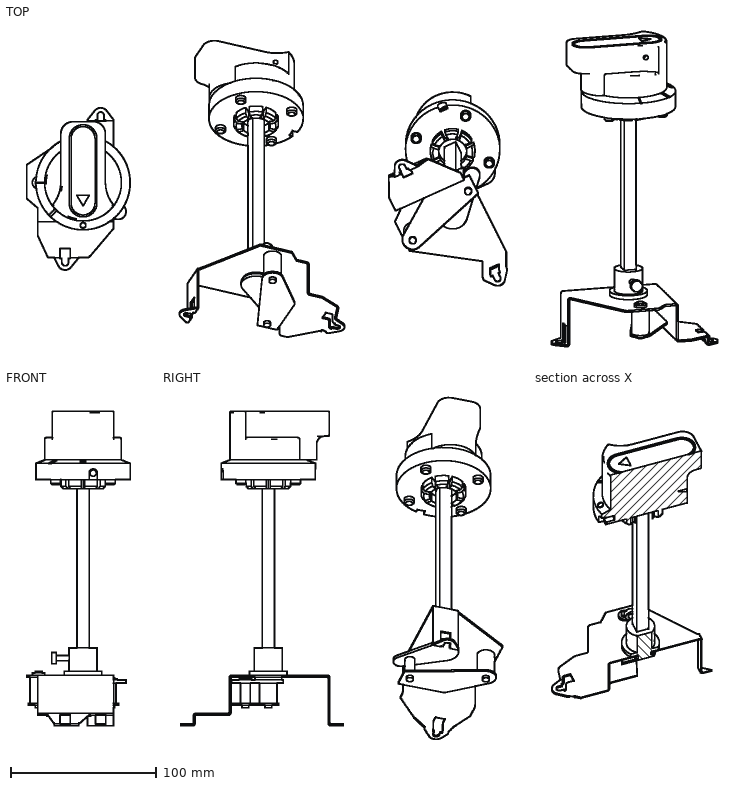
import cadquery as cq
import math


SHAFT_SIDE = 8.7
SHAFT_BOTTOM = 35.0
SHAFT_TOP = 183.4

HANDLE_TOP = 217.0
LEDGE_Z = 198.8
TAIL_BOTTOM = 199.6
KNOB_BASE = 183.4
BEVEL_BOTTOM = 181.0
FLANGE_BOTTOM = 169.7
FOOT_BOTTOM = 166.2
COLLAR_BOTTOM = 163.5

KNOB_RADIUS = 26.5
FLANGE_RADIUS = 32.5
BEVEL_TOP_RADIUS = KNOB_RADIUS
GRIP_HALF_WIDTH = 15.5
TAIL_END_Y = 42.0
TAIL_CORNER_RADIUS = 8.5
SCALLOP_RADIUS = 23.9
COLUMN_END_RADIUS = 18.2
COLUMN_END_Y = 33.5
COLUMN_FILLET = 5.5
EDGE_FILLET = 1.0

GROOVE_HALF_WIDTH = 9.5
GROOVE_BACK_Y = 40.0
GROOVE_FRONT_Y = -23.7
GROOVE_WIDTH = 1.3
GROOVE_DEPTH = 0.5
ARROW_HALF_WIDTH = 4.3
ARROW_BASE_Y = -8.7
ARROW_TIP_Y = -16.0
ARROW_DEPTH = 0.2
SIDE_HOLE_DIAMETER = 3.0
SIDE_HOLE_Y = -7.8
SIDE_HOLE_DROP = 8.2
SIDE_HOLE_DEPTH = 4.3
DOT_DIAMETER = 4.0
DOT_DEPTH = 0.7
TICKS = [(180, 0.7), (225, 1.7)]
TICK_DEPTH = 0.5
NOTCH_X = 7.0
NOTCH_WIDTH = 5.6
NOTCH_CENTER_Z = 174.3
NOTCH_DEPTH = 3.3
NOTCH_HOLE_DIAMETER = 4.3
NOTCH_HOLE_DEPTH = 6.5

COLLAR_RADIUS = 15.5
COLLAR_CHAMFER = 1.7
COLLAR_BORE_RADIUS = 9.8
COLLAR_SLOTS = 8
COLLAR_SLOT_WIDTH = 2.5
FOOT_RADIUS = 3.5
FOOT_OFFSET = 18.9
FOOT_CHAMFER = 1.0

SHEET = 1.3
BEND_RADIUS = 2.0
PLATE_TOP = 35.0
STEP_TOP = 8.7
BACK_WALL_Y = 42.5
FRONT_WALL_Y = -27.0
STEP_WALL_Y = -51.6
BACK_TIP_Y = 51.6
FRONT_TIP_Y = -60.3
BRACKET_LEFT = -38.8
BRACKET_RIGHT = 21.0
FRONT_LEFT = -31.2
BACK_LEFT = 3.0
BACK_EAR_ROOT_Y = 43.5
STEP_LEFT = -24.3
STEP_RIGHT = 4.1
FRONT_EAR_LEFT = -20.0
FRONT_EAR_RIGHT = -2.8
LEFT_EDGE_BACK_Y = 12.4
LEFT_EDGE_FRONT_Y = -11.0
LEFT_CORNER_Y = -17.5
STEP_TAPER_LEFT_Y = -36.7
STEP_TAPER_RIGHT_Y = -31.7
EAR_RADIUS = 5.2
BACK_EAR_X = 12.2
FRONT_EAR_X = -12.4
KEYHOLE_WIDE = 7.0
KEYHOLE_NARROW = 4.3
BACK_KEYHOLE_TOP = 13.5
FRONT_KEYHOLE_Y = -45.5
KEYHOLE_LIP = 0.7

HUB_RADIUS = 9.8
HUB_TOP = 53.8
COLLAR_RIM_RADIUS = 13.0
COLLAR_RIM_TOP = 37.8
NECK_RADIUS = 9.3
LEVER_TOP = 31.7
LEVER_BOTTOM = 29.5
LEVER_HUB_RADIUS = 10.5
LEVER_TIP_RADIUS = 5.5
LEVER_TIP = (24.3, -20.0)
LINK_TOP = 15.6
LINK_BOTTOM = 14.3
LINK_END_RADIUS = 7.2
LINK_FRONT_Y = -25.4
LINK_FRONT_LEFT_X = -8.7
LINK_RIGHT = 24.7
LINK_RIGHT_Y = -10.8
LINK_TOP_SLOPE = math.radians(17)
LINK_SIDE_SLOPE = math.radians(36.5)
FIXED_POST = (-30.5, 0.0)
FIXED_POST_RADIUS = 6.0
LEVER_POST = (19.3, -15.8)
LEVER_POST_RADIUS = 3.5
RIVET_RADIUS = 2.4
RIVET_BOTTOM = 12.4
WASHER_RADIUS = 4.3
FIXED_WASHER_TOP = 36.5
FIXED_RIVET_TOP = 37.8
LEVER_WASHER_TOP = 32.3
LEVER_RIVET_TOP = 33.2
SCREW_Z = 46.7
SCREW_RADIUS = 2.0
SCREW_HEAD_RADIUS = 4.0
SCREW_HEAD_X = -18.5
SCREW_END_X = -21.7


def disc(radius, bottom, top, center=(0.0, 0.0)):
    """Upright cylinder between two heights."""
    return cq.Workplane("XY", origin=(*center, bottom)).circle(radius).extrude(top - bottom)


def box(x_range, y_range, z_range):
    """Axis-aligned block given by its low and high limits."""
    lows, highs = zip(x_range, y_range, z_range)
    sizes = [high - low for low, high in zip(lows, highs)]
    return cq.Workplane("XY", origin=lows).box(*sizes, centered=False)


def prism(points, bottom, top):
    """Upright prism over a plan polygon."""
    return cq.Workplane("XY", origin=(0, 0, bottom)).polyline(points).close().extrude(top - bottom)


def tangent_bar(start, start_radius, end, end_radius, bottom, top):
    """Flat bar with round ends of different radii joined by tangent sides."""
    dx = end[0] - start[0]
    dy = end[1] - start[1]
    heading = math.atan2(dy, dx)
    spread = math.acos((start_radius - end_radius) / math.hypot(dx, dy))

    def rim(center, radius, angle):
        return center[0] + radius * math.cos(angle), center[1] + radius * math.sin(angle)

    left = heading + spread
    right = heading - spread
    return (
        cq.Workplane("XY", origin=(0, 0, bottom))
        .moveTo(*rim(start, start_radius, left))
        .threePointArc(rim(start, start_radius, heading + math.pi), rim(start, start_radius, right))
        .lineTo(*rim(end, end_radius, right))
        .threePointArc(rim(end, end_radius, heading), rim(end, end_radius, left))
        .close()
        .extrude(top - bottom)
    )


def shaft_bar():
    length = SHAFT_TOP - SHAFT_BOTTOM
    return cq.Workplane("XY", origin=(0, 0, SHAFT_BOTTOM)).rect(SHAFT_SIDE, SHAFT_SIDE).extrude(length)



def knob():
    """Round lower knob; its filleted top shows as a ledge on each side of the grip."""
    return disc(KNOB_RADIUS, KNOB_BASE, LEDGE_Z).faces(">Z").edges().fillet(EDGE_FILLET)


def grip():
    """Raised grip: straight tail at +Y, concave flanks widening to the knob rim at -Y."""
    tail = (
        box((-GRIP_HALF_WIDTH, GRIP_HALF_WIDTH), (0, TAIL_END_Y), (TAIL_BOTTOM, HANDLE_TOP))
        .edges("|Z and >Y").fillet(TAIL_CORNER_RADIUS)
    )
    head = disc(KNOB_RADIUS, KNOB_BASE, HANDLE_TOP)
    for side in (-1, 1):
        flank_center = (side * (GRIP_HALF_WIDTH + SCALLOP_RADIUS), 0)
        head = head.cut(disc(SCALLOP_RADIUS, KNOB_BASE, HANDLE_TOP, flank_center))
        side_x_range = sorted((side * GRIP_HALF_WIDTH, side * FLANGE_RADIUS))
        head = head.cut(box(side_x_range, (0, FLANGE_RADIUS), (KNOB_BASE, HANDLE_TOP)))
    body = head.union(tail).union(column())
    body = body.faces(">Z").edges().fillet(EDGE_FILLET)
    return round_underside(body)


def round_underside(body):
    """Rounds the lower rim of the tail and the corners of its support."""
    tail_underside = cq.selectors.BoxSelector(
        (-FLANGE_RADIUS, TAIL_END_Y - EDGE_FILLET, TAIL_BOTTOM - EDGE_FILLET),
        (FLANGE_RADIUS, TAIL_END_Y + EDGE_FILLET, TAIL_BOTTOM + EDGE_FILLET),
    )
    return body.edges(tail_underside).fillet(EDGE_FILLET)


def column():
    """Support under the tail with a rounded end, flared where it meets the tail."""
    center = (0, COLUMN_END_Y - COLUMN_END_RADIUS)
    flare_z = TAIL_BOTTOM - COLUMN_FILLET
    post_body = disc(COLUMN_END_RADIUS, KNOB_BASE, TAIL_BOTTOM, center)
    flare = (
        cq.Workplane("XZ")
        .moveTo(0, flare_z)
        .lineTo(COLUMN_END_RADIUS, flare_z)
        .radiusArc((COLUMN_END_RADIUS + COLUMN_FILLET, TAIL_BOTTOM), COLUMN_FILLET)
        .lineTo(0, TAIL_BOTTOM)
        .close()
        .revolve(360, (0, 0, 0), (0, 1, 0))
        .translate((*center, 0))
    )
    strip = box((-GRIP_HALF_WIDTH, GRIP_HALF_WIDTH), (0, TAIL_END_Y), (KNOB_BASE, TAIL_BOTTOM))
    return post_body.union(flare).intersect(strip)


def flange():
    """Round base with a bevelled top."""
    return (
        cq.Workplane("XZ")
        .polyline([
            (0, FLANGE_BOTTOM),
            (FLANGE_RADIUS, FLANGE_BOTTOM),
            (FLANGE_RADIUS, BEVEL_BOTTOM),
            (BEVEL_TOP_RADIUS, KNOB_BASE),
            (0, KNOB_BASE),
        ])
        .close()
        .revolve(360, (0, 0, 0), (0, 1, 0))
    )


def collar():
    """Slotted locating collar under the flange."""
    body = disc(COLLAR_RADIUS, COLLAR_BOTTOM, FLANGE_BOTTOM).faces("<Z").chamfer(COLLAR_CHAMFER)
    body = body.cut(disc(COLLAR_BORE_RADIUS, COLLAR_BOTTOM, FLANGE_BOTTOM))
    half = COLLAR_SLOT_WIDTH / 2
    slot = box((COLLAR_BORE_RADIUS, COLLAR_RADIUS + 2.2), (-half, half), (COLLAR_BOTTOM, FLANGE_BOTTOM))
    for index in range(COLLAR_SLOTS):
        body = body.cut(slot.rotate((0, 0, 0), (0, 0, 1), index * 360 / COLLAR_SLOTS))
    return body


def foot(x, y):
    return disc(FOOT_RADIUS, FOOT_BOTTOM, FLANGE_BOTTOM, (x, y)).faces("<Z").chamfer(FOOT_CHAMFER)


def grip_groove():
    """Racetrack groove in the top of the grip."""
    length = GROOVE_BACK_Y - GROOVE_FRONT_Y
    width = 2 * GROOVE_HALF_WIDTH
    middle = (GROOVE_BACK_Y + GROOVE_FRONT_Y) / 2
    plane = cq.Workplane("XY", origin=(0, middle, HANDLE_TOP - GROOVE_DEPTH))
    outer = plane.slot2D(length, width, 90).extrude(GROOVE_DEPTH)
    inner = plane.slot2D(length - 2 * GROOVE_WIDTH, width - 2 * GROOVE_WIDTH, 90).extrude(GROOVE_DEPTH)
    return outer.cut(inner)


def arrow_recess():
    return (
        cq.Workplane("XY", origin=(0, 0, HANDLE_TOP - ARROW_DEPTH))
        .polyline([(-ARROW_HALF_WIDTH, ARROW_BASE_Y), (ARROW_HALF_WIDTH, ARROW_BASE_Y), (0, ARROW_TIP_Y)])
        .close()
        .extrude(ARROW_DEPTH)
    )


def side_hole():
    """Blind hole in the concave flank on the -X side."""
    hole_z = HANDLE_TOP - SIDE_HOLE_DROP
    depth = KNOB_RADIUS - GRIP_HALF_WIDTH + SIDE_HOLE_DEPTH
    return (
        cq.Workplane("YZ", origin=(-KNOB_RADIUS, SIDE_HOLE_Y, hole_z))
        .circle(SIDE_HOLE_DIAMETER / 2)
        .extrude(depth)
    )


def bevel_surface(angle):
    """Workplane lying on the bevel, centred on its width in the given direction."""
    fall = KNOB_BASE - BEVEL_BOTTOM
    run = FLANGE_RADIUS - BEVEL_TOP_RADIUS
    radius = FLANGE_RADIUS - run / 2
    heading = math.radians(angle)
    cosine = math.cos(heading)
    sine = math.sin(heading)
    plane = cq.Plane(
        origin=(radius * cosine, radius * sine, (KNOB_BASE + BEVEL_BOTTOM) / 2),
        xDir=(run * cosine, run * sine, -fall),
        normal=(fall * cosine, fall * sine, run),
    )
    return cq.Workplane(plane)


def bevel_marks():
    """Index dot at the front and radial ticks, all shallow recesses in the bevel."""
    slope_length = math.hypot(KNOB_BASE - BEVEL_BOTTOM, FLANGE_RADIUS - BEVEL_TOP_RADIUS)
    marks = bevel_surface(270).circle(DOT_DIAMETER / 2).extrude(DOT_DEPTH, both=True)
    for angle, width in TICKS:
        tick = bevel_surface(angle).rect(slope_length, width).extrude(TICK_DEPTH, both=True)
        marks = marks.union(tick)
    return marks


def flange_notch():
    """Arched notch in the front of the flange with a hole in its back wall."""
    rim_y = -math.sqrt(FLANGE_RADIUS**2 - NOTCH_X**2)
    half = NOTCH_WIDTH / 2
    back_y = rim_y + NOTCH_DEPTH
    lower = box((NOTCH_X - half, NOTCH_X + half), (-FLANGE_RADIUS, back_y), (FLANGE_BOTTOM, NOTCH_CENTER_Z))
    plane = cq.Workplane("XZ", origin=(NOTCH_X, -FLANGE_RADIUS, NOTCH_CENTER_Z))
    arch = plane.circle(half).extrude(-(back_y + FLANGE_RADIUS))
    hole = plane.circle(NOTCH_HOLE_DIAMETER / 2).extrude(-(back_y + FLANGE_RADIUS + NOTCH_HOLE_DEPTH))
    return lower.union(arch).union(hole)


def make_handle():
    body = knob().union(grip()).union(flange()).union(collar())
    for x in (-FOOT_OFFSET, FOOT_OFFSET):
        for y in (-FOOT_OFFSET, FOOT_OFFSET):
            body = body.union(foot(x, y))
    for recess in (grip_groove(), arrow_recess(), side_hole(), bevel_marks(), flange_notch()):
        body = body.cut(recess)
    return body.cut(shaft_bar())



def bent_strip():
    """Full-width sheet bent into the hat-shaped side profile."""
    inside = BEND_RADIUS - SHEET
    width = BRACKET_RIGHT - BRACKET_LEFT
    outer = [
        (BACK_TIP_Y, SHEET),
        (BACK_WALL_Y, SHEET),
        (BACK_WALL_Y, PLATE_TOP),
        (FRONT_WALL_Y, PLATE_TOP),
        (FRONT_WALL_Y, STEP_TOP),
        (STEP_WALL_Y, STEP_TOP),
        (STEP_WALL_Y, SHEET),
        (FRONT_TIP_Y, SHEET),
    ]
    inner = [
        (FRONT_TIP_Y, 0),
        (STEP_WALL_Y + SHEET, 0),
        (STEP_WALL_Y + SHEET, STEP_TOP - SHEET),
        (FRONT_WALL_Y + SHEET, STEP_TOP - SHEET),
        (FRONT_WALL_Y + SHEET, PLATE_TOP - SHEET),
        (BACK_WALL_Y - SHEET, PLATE_TOP - SHEET),
        (BACK_WALL_Y - SHEET, 0),
        (BACK_TIP_Y, 0),
    ]
    sheet = (
        cq.Workplane("YZ", origin=(BRACKET_LEFT, 0, 0))
        .polyline(outer + inner)
        .close()
        .extrude(width)
    )
    convex = outer[2:4] + outer[5:6] + inner[1:2] + inner[3:4] + inner[6:7]
    concave = outer[1:2] + outer[4:5] + outer[6:7] + inner[2:3] + inner[4:6]
    for corners, radius in ((convex, BEND_RADIUS), (concave, inside)):
        for y, z in corners:
            near = cq.selectors.BoxSelector(
                (BRACKET_LEFT - 2.2, y - SHEET / 4, z - SHEET / 4),
                (BRACKET_RIGHT + 2.2, y + SHEET / 4, z + SHEET / 4),
            )
            sheet = sheet.edges(near).fillet(radius)
    return sheet


def ear_plan(x, tip_y, wall_y, left_x, right_x):
    """Plan of a mounting ear: sides running from the wall tangent to a round tip."""
    outward = 1 if tip_y > wall_y else -1
    center_y = tip_y - outward * EAR_RADIUS
    outline = [(left_x, wall_y)]
    for root_x, side in ((left_x, -1), (right_x, 1)):
        dx = root_x - x
        dy = wall_y - center_y
        to_root = math.atan2(dy, dx)
        spread = math.acos(EAR_RADIUS / math.hypot(dx, dy))
        angle = to_root + side * outward * spread
        outline.append((x + EAR_RADIUS * math.cos(angle), center_y + EAR_RADIUS * math.sin(angle)))
    outline.append((right_x, wall_y))
    tip = disc(EAR_RADIUS, 0, PLATE_TOP, (x, center_y))
    return prism(outline, 0, PLATE_TOP).union(tip)


def bracket_plan():
    """Plan outline of all the plates, with the two rounded ears."""
    plate = prism(
        [
            (BRACKET_LEFT, LEFT_EDGE_BACK_Y),
            (BACK_LEFT, BACK_WALL_Y - BEND_RADIUS),
            (BACK_LEFT, BACK_EAR_ROOT_Y),
            (BRACKET_RIGHT, BACK_EAR_ROOT_Y),
            (BRACKET_RIGHT, STEP_TAPER_RIGHT_Y),
            (STEP_RIGHT, STEP_WALL_Y),
            (STEP_LEFT, STEP_WALL_Y),
            (FRONT_LEFT, STEP_TAPER_LEFT_Y),
            (FRONT_LEFT, LEFT_CORNER_Y),
            (BRACKET_LEFT, LEFT_EDGE_FRONT_Y),
        ],
        0,
        PLATE_TOP,
    )
    back_ear = ear_plan(BACK_EAR_X, BACK_TIP_Y, BACK_EAR_ROOT_Y, BACK_LEFT, BRACKET_RIGHT)
    front_ear = ear_plan(FRONT_EAR_X, FRONT_TIP_Y, STEP_WALL_Y, FRONT_EAR_LEFT, FRONT_EAR_RIGHT)
    return plate.union(back_ear).union(front_ear)


def wall_taper():
    """Elevation of the lowest front wall, narrowing down to the ear."""
    return (
        cq.Workplane("XZ", origin=(0, FRONT_TIP_Y, 0))
        .polyline([
            (FRONT_EAR_LEFT, 0),
            (FRONT_EAR_LEFT, SHEET),
            (STEP_LEFT, STEP_TOP - SHEET),
            (BRACKET_LEFT, STEP_TOP - SHEET),
            (BRACKET_LEFT, PLATE_TOP),
            (BRACKET_RIGHT, PLATE_TOP),
            (BRACKET_RIGHT, STEP_TOP - SHEET),
            (STEP_RIGHT, STEP_TOP - SHEET),
            (FRONT_EAR_RIGHT, SHEET),
            (FRONT_EAR_RIGHT, 0),
        ])
        .close()
        .extrude(FRONT_TIP_Y - FRONT_WALL_Y)
    )


def keyhole(x, tip_y, wide_y_range, wide_top):
    """Wide opening through a wall and its bends, narrowing to a round-ended slot in the ear."""
    outward = 1 if tip_y > 0 else -1
    slot_end_y = tip_y - outward * EAR_RADIUS
    wide_half = KEYHOLE_WIDE / 2
    narrow_half = KEYHOLE_NARROW / 2
    wide = box((x - wide_half, x + wide_half), wide_y_range, (0, wide_top))
    slot_y_range = sorted((slot_end_y, slot_end_y - outward * EAR_RADIUS))
    narrow = box((x - narrow_half, x + narrow_half), slot_y_range, (0, SHEET))
    return wide.union(narrow).union(disc(narrow_half, 0, SHEET, (x, slot_end_y)))


def make_bracket():
    body = bent_strip().intersect(bracket_plan())
    front_zone = box((BRACKET_LEFT, BRACKET_RIGHT), (FRONT_TIP_Y, STEP_WALL_Y + SHEET), (0, STEP_TOP))
    body = body.cut(front_zone.cut(wall_taper()))
    back_y_range = (BACK_WALL_Y - SHEET, BACK_WALL_Y + KEYHOLE_LIP)
    front_y_range = (STEP_WALL_Y - KEYHOLE_LIP, FRONT_KEYHOLE_Y)
    body = body.cut(keyhole(BACK_EAR_X, BACK_TIP_Y, back_y_range, BACK_KEYHOLE_TOP))
    body = body.cut(keyhole(FRONT_EAR_X, FRONT_TIP_Y, front_y_range, STEP_TOP))
    plate_bottom = PLATE_TOP - SHEET
    body = body.cut(disc(NECK_RADIUS, plate_bottom, PLATE_TOP))
    return body.cut(disc(RIVET_RADIUS, plate_bottom, PLATE_TOP, FIXED_POST))



def hub():
    """Socket for the shaft: barrel, rim resting on the bracket, and neck down to the lever."""
    barrel = disc(HUB_RADIUS, COLLAR_RIM_TOP, HUB_TOP)
    rim = disc(COLLAR_RIM_RADIUS, PLATE_TOP, COLLAR_RIM_TOP)
    neck = disc(NECK_RADIUS, LEVER_BOTTOM, PLATE_TOP)
    return barrel.union(rim).union(neck)


def clamp_screw():
    """Radial screw with a disc head, reaching the shaft on the -X side."""
    start = cq.Workplane("YZ", origin=(SCREW_END_X, 0, SCREW_Z))
    head = start.circle(SCREW_HEAD_RADIUS).extrude(SCREW_HEAD_X - SCREW_END_X)
    shank = start.circle(SCREW_RADIUS).extrude(-SHAFT_SIDE / 2 - SCREW_END_X)
    return head.union(shank)


def link():
    """Lower plate: round end at the fixed post, straight sides out to the lever post."""
    x, y = FIXED_POST
    plate = prism(
        [
            (x, y),
            (x + LINK_END_RADIUS * math.sin(LINK_TOP_SLOPE), y + LINK_END_RADIUS * math.cos(LINK_TOP_SLOPE)),
            (LINK_RIGHT, LINK_RIGHT_Y),
            (LINK_RIGHT, LINK_FRONT_Y),
            (LINK_FRONT_LEFT_X, LINK_FRONT_Y),
            (x - LINK_END_RADIUS * math.sin(LINK_SIDE_SLOPE), y - LINK_END_RADIUS * math.cos(LINK_SIDE_SLOPE)),
        ],
        LINK_BOTTOM,
        LINK_TOP,
    )
    return plate.union(disc(LINK_END_RADIUS, LINK_BOTTOM, LINK_TOP, FIXED_POST))


def post(center, radius, top, washer_top, rivet_top, washer_bottom):
    """Spacer post riveted through the link below and capped by a washer above."""
    spacer = disc(radius, LINK_TOP, top, center)
    rivet = disc(RIVET_RADIUS, RIVET_BOTTOM, rivet_top, center)
    washer = disc(WASHER_RADIUS, washer_bottom, washer_top, center)
    return spacer.union(rivet).union(washer)


def make_drive():
    body = hub().union(clamp_screw())
    body = body.union(
        tangent_bar((0, 0), LEVER_HUB_RADIUS, LEVER_TIP, LEVER_TIP_RADIUS, LEVER_BOTTOM, LEVER_TOP)
    )
    body = body.union(link())
    body = body.union(post(FIXED_POST, FIXED_POST_RADIUS, PLATE_TOP - SHEET,
                           FIXED_WASHER_TOP, FIXED_RIVET_TOP, PLATE_TOP))
    body = body.union(post(LEVER_POST, LEVER_POST_RADIUS, LEVER_BOTTOM,
                           LEVER_WASHER_TOP, LEVER_RIVET_TOP, LEVER_TOP))
    return body.cut(shaft_bar())


handle = make_handle()
shaft = shaft_bar()
bracket = make_bracket()
drive = make_drive()

result = cq.Compound.makeCompound([handle.val(), shaft.val(), bracket.val(), drive.val()])